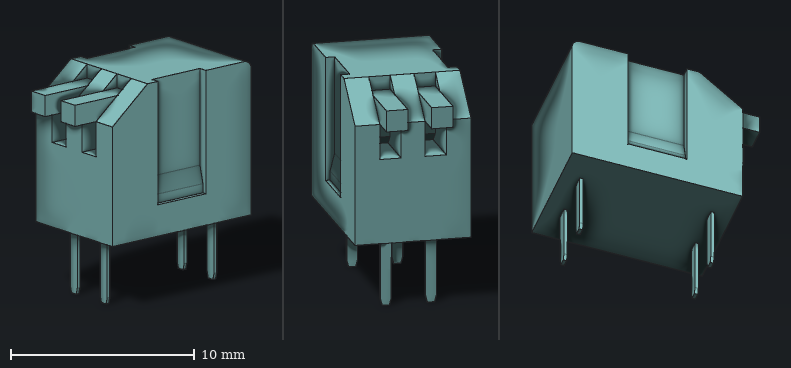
import cadquery as cq

body_width = 6.54
body_depth = 9.9
overall_depth = 11.4
overall_height = 12.65
pin_length = 3.85
body_height = overall_height - pin_length
chamfer_depth = 2.5
chamfer_height = 2.0
rear_edge_radius = 0.5

pitch = 2.54
position_xs = (-pitch / 2, pitch / 2)

slot_width = 1.2
slot_drop = 4.0
undercut = 0.5
lever_height = 1.2
lever_reach = overall_depth - body_depth

pocket_length = 3.42
pocket_depth = 0.5
pocket_drop = 7.01
ledge_depth = 0.25
ledge_height = 0.52
ramp_height = 1.0

row_spacing = 7.62
pin_width = 0.61
pin_thickness = 0.2
tip_width = 0.4
tip_height = 0.38

body_mid_y = body_depth / 2
slot_floor_z = body_height - slot_drop
chamfer_foot_z = body_height - chamfer_height


def make_body():
    """Block with a sloped front top edge and a rounded rear top edge."""
    profile = (
        cq.Workplane("YZ", origin=(-body_width / 2, 0, 0))
        .polyline([
            (0, 0),
            (body_depth, 0),
            (body_depth, body_height),
            (chamfer_depth, body_height),
            (0, chamfer_foot_z),
        ])
        .close()
    )
    return profile.extrude(body_width).edges(">Y and >Z").fillet(rear_edge_radius)


def make_side_pocket():
    """Cutter for the pocket in the -X side, open at the top, with a ramp and a ledge at its foot."""
    side_x = -body_width / 2
    foot_z = body_height - pocket_drop
    ledge_z = foot_z + ledge_height
    return (
        cq.Workplane("XZ", origin=(0, body_mid_y + pocket_length / 2, 0))
        .polyline([
            (side_x, foot_z),
            (side_x + ledge_depth, foot_z),
            (side_x + ledge_depth, ledge_z),
            (side_x + pocket_depth, ledge_z + ramp_height),
            (side_x + pocket_depth, body_height),
            (side_x, body_height),
        ])
        .close()
        .extrude(pocket_length)
    )


def make_slot(x):
    """Cutter for a lever slot whose back wall is undercut at the floor."""
    return (
        cq.Workplane("YZ", origin=(x - slot_width / 2, 0, 0))
        .polyline([
            (0, slot_floor_z),
            (chamfer_depth + undercut, slot_floor_z),
            (chamfer_depth, slot_floor_z + undercut),
            (chamfer_depth, body_height),
            (0, body_height),
        ])
        .close()
        .extrude(slot_width)
    )


def make_lever(x):
    """Bar from the back wall of its slot to beyond the front face."""
    return cq.Workplane("XY").box(
        slot_width, lever_reach + chamfer_depth, lever_height, centered=(True, False, False)
    ).translate((x, -lever_reach, chamfer_foot_z))


def make_pin(x, y):
    """Flat pin below the housing with a tapered tip."""
    return (
        cq.Workplane("XZ", origin=(x, y + pin_thickness / 2, 0))
        .polyline([
            (-pin_width / 2, 0),
            (pin_width / 2, 0),
            (pin_width / 2, tip_height - pin_length),
            (tip_width / 2, -pin_length),
            (-tip_width / 2, -pin_length),
            (-pin_width / 2, tip_height - pin_length),
        ])
        .close()
        .extrude(pin_thickness)
    )


side_pocket = make_side_pocket()
result = make_body().cut(side_pocket).cut(side_pocket.mirror("YZ"))

for x in position_xs:
    result = result.cut(make_slot(x)).union(make_lever(x))
    for y in (body_mid_y - row_spacing / 2, body_mid_y + row_spacing / 2):
        result = result.union(make_pin(x, y))